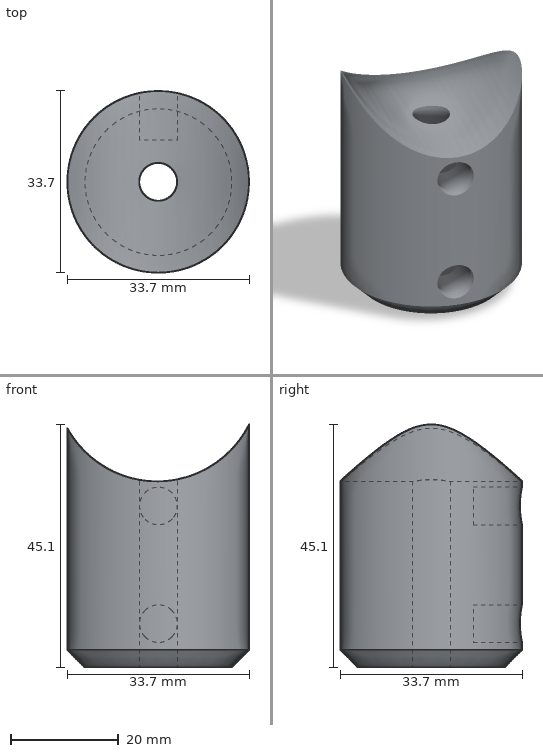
import cadquery as cq
import math

height = 45.05
body_diameter = 33.7
body_radius = body_diameter / 2
chamfer = 3.25

saddle_radius = 19.0
saddle_x = -0.2
saddle_z = height + math.sqrt(saddle_radius**2 - (body_radius - saddle_x) ** 2)

hole_diameter = 7.0
side_hole_heights = (8.15, 29.95)
side_hole_depth = 9.0


def make_body():
    return cq.Workplane("XY").circle(body_radius).extrude(height).faces("<Z").chamfer(chamfer)


def make_saddle_cutter():
    return (
        cq.Workplane("XZ")
        .center(saddle_x, saddle_z)
        .circle(saddle_radius)
        .extrude(body_radius, both=True)
    )


def make_bore_cutter():
    return cq.Workplane("XY").circle(hole_diameter / 2).extrude(height)


def make_side_hole_cutter(hole_z):
    """Blind hole running from the +Y surface towards the axis."""
    return (
        cq.Workplane("XZ", origin=(0, body_radius, hole_z))
        .circle(hole_diameter / 2)
        .extrude(side_hole_depth)
    )


result = make_body().cut(make_saddle_cutter()).cut(make_bore_cutter())
for side_hole_z in side_hole_heights:
    result = result.cut(make_side_hole_cutter(side_hole_z))